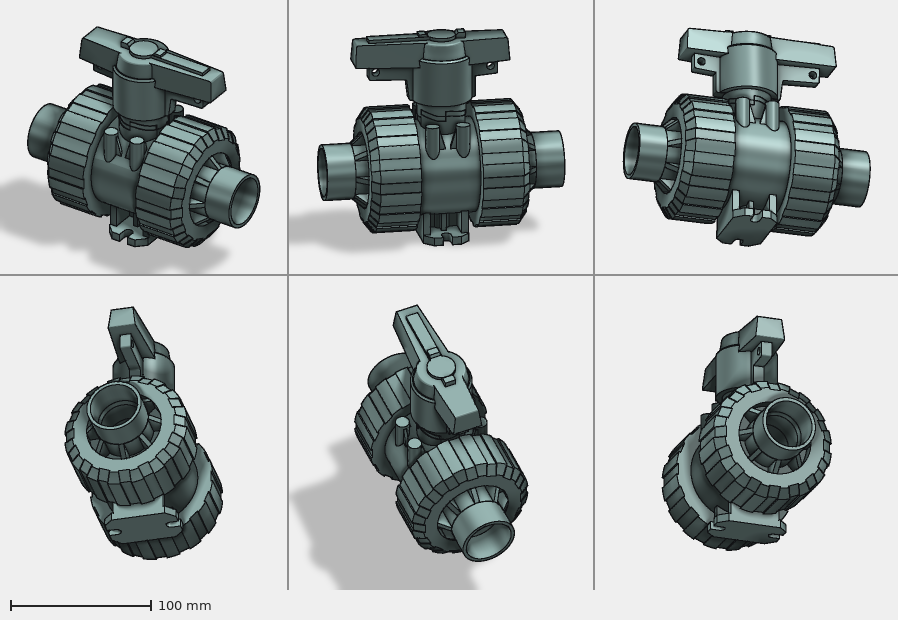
import cadquery as cq

half_length = 86.0
bore_radius = 15.8
body_radius = 34.1
nut_outer_end = 57.3
nut_inner_end = 22.4
lip_thickness = 9.0
flange_face = nut_outer_end - lip_thickness
flange_thickness = 6.0
body_half_length = flange_face - flange_thickness

nut_radius = 45.0
nut_opening_radius = 27.4
nut_chamfer_length = 5.3
nut_chamfer_drop = 6.8
groove_count = 16
groove_width = 8.0
groove_floor = 43.65
cut_margin = 1.0

tube_radius = 20.0
tube_step = 0.3
tube_step_x = 65.4
socket_radius = 17.4
socket_depth = 22.0
socket_cone_length = 3.0
rib_count = 8
rib_thickness = 3.7

neck_radius = 17.5
neck_top = 67.4
neck_shoulder_z = 39.6
neck_lower_half_width = 16.0
ramp_height = 3.6
ramp_radius = 18.0
ramp_low_z = 43.0
ramp_high_z = 46.5
ramp_flat_low = 5.9
ramp_flat_high = 4.0
ramp_end_drop = 2.8

post_radius = 5.0
post_x = 11.0
post_y = 25.4
post_top = 38.6
gusset_thickness = 2.3
gusset_top = 36.0
gusset_bottom = 21.6
gusset_reach = 9.3
side_gusset_x = 13.75

foot_half_x = 16.4
foot_half_y = 26.3
foot_bottom = -51.0
foot_plate_thickness = 5.8
foot_corner = 6.7
foot_slot_radius = 3.35
foot_slot_center = 20.0
leg_thickness = 5.1
leg_half_y = 18.3
foot_wall_thickness = 3.0
foot_boss_radius = 5.5
foot_rib_thickness = 3.6
foot_rib_half_y = 10.6

sleeve_radius = 22.0
sleeve_bottom = 51.8
sleeve_top = 85.5
sleeve_chamfer = 1.5
sleeve_slot_width = 9.9
sleeve_slot_top = 79.5
cone_base_radius = 19.7
cone_top_radius = 17.8
cone_fillet = 1.6
bar_bottom = 78.8
bar_top = 96.6
bar_left = -47.9
bar_right = 64.0
bar_end_rise = 1.5
bar_end_draft = 1.2
bar_hub_half_x = 12.0
bar_base_half_y = 13.35
bar_top_half_y = 11.1
bar_left_narrowing = 2.1
bar_right_narrowing = 3.2
bar_end_fillet = 1.8
bar_foot_fillet = 0.8
cap_radius = 10.2
cap_top = 99.0
pad_top = 100.77
pad_inner = 10.0
pad_slope = 1.7
pad_outer = 16.8
pad_width = 8.0
top_rib_width = 9.1
top_rib_end = 53.4
web_thickness = 7.9
web_left = -40.2
web_right = 53.1
web_top = 81.0
web_end_z = 68.6
web_step_z = 67.4
web_step_left = -24.1
web_step_right_low = 23.8
web_step_right_high = 25.8
web_fillet = 1.5
web_hole_radius = 2.75
web_hole_z = 74.4
web_hole_left = -35.0
web_hole_right = 48.2


def x_cylinder(radius, start, end):
    return cq.Workplane("YZ").workplane(offset=start).circle(radius).extrude(end - start)


def z_cylinder(radius, bottom, top, x=0, y=0):
    return cq.Workplane("XY").workplane(offset=bottom).center(x, y).circle(radius).extrude(top - bottom)


def box(x0, x1, y0, y1, z0, z1):
    return cq.Workplane("XY").box(x1 - x0, y1 - y0, z1 - z0, centered=False).translate((x0, y0, z0))


def xz_plate(points, thickness, y=0):
    """Plate of the given XZ outline, centred on y."""
    return cq.Workplane("XZ", origin=(0, y, 0)).polyline(points).close().extrude(thickness / 2, both=True)


def stop_ramps():
    """Low and high stop ramps standing proud of the -Y half of the neck."""
    low_end = ramp_low_z + ramp_end_drop
    high_end = ramp_high_z - ramp_end_drop
    ring = z_cylinder(ramp_radius, 0, neck_top)
    edge = neck_lower_half_width
    low_top = [(-edge, low_end), (-ramp_flat_low, ramp_low_z), (0, ramp_low_z)]
    high_top = [(0, ramp_high_z), (ramp_flat_high, ramp_high_z), (edge, high_end)]
    ramps = cq.Workplane("XY")
    for top_edge in (low_top, high_top):
        bottom_edge = [(x, z - ramp_height) for x, z in reversed(top_edge)]
        slab = xz_plate(top_edge + bottom_edge, ramp_radius, -ramp_radius / 2)
        ramps = ramps.union(ring.intersect(slab))
    return ramps


def make_neck():
    lower = z_cylinder(neck_radius, 0, neck_shoulder_z).intersect(
        box(-neck_lower_half_width, neck_lower_half_width, -body_radius, body_radius, 0, neck_top)
    )
    neck = lower.union(z_cylinder(neck_radius, neck_shoulder_z, neck_top))
    for angle in (0, 180):
        neck = neck.union(stop_ramps().rotate((0, 0, 0), (0, 0, 1), angle))
    return neck


def gusset_plate(x, y):
    """Gusset beside the point x, y, falling away toward -X."""
    outline = [
        (x, 0),
        (x - gusset_reach, 0),
        (x - gusset_reach, gusset_bottom),
        (x - post_radius, gusset_top),
        (x, gusset_top),
    ]
    return xz_plate(outline, gusset_thickness, y)


def make_post():
    """Post at +X, +Y with one gusset toward the middle in X and one in Y."""
    post = z_cylinder(post_radius, 0, post_top, post_x, post_y)
    side_gusset = gusset_plate(post_y, 0).rotate((0, 0, 0), (0, 0, 1), 90).translate((side_gusset_x, 0, 0))
    return post.union(gusset_plate(post_x, post_y)).union(side_gusset)


def make_foot():
    plate_top = foot_bottom + foot_plate_thickness
    plate = box(-foot_half_x, foot_half_x, -foot_half_y, foot_half_y, foot_bottom, plate_top)
    foot = plate.edges("|Z").chamfer(foot_corner)
    for side in (-1, 1):
        inner = foot_half_x - leg_thickness
        leg = box(inner, foot_half_x, -leg_half_y, leg_half_y, plate_top, 0)
        foot = foot.union(leg if side > 0 else leg.mirror("YZ"))
    wall = foot_wall_thickness / 2
    foot = foot.union(box(-foot_half_x, foot_half_x, -wall, wall, plate_top, 0))
    rib = foot_rib_thickness / 2
    foot = foot.union(box(-rib, rib, -foot_rib_half_y, foot_rib_half_y, plate_top, 0))
    foot = foot.union(z_cylinder(foot_boss_radius, plate_top, 0))
    for side in (-1, 1):
        center = side * foot_slot_center
        foot = foot.cut(z_cylinder(foot_slot_radius, foot_bottom, plate_top, 0, center))
        y0, y1 = sorted((center, side * foot_half_y))
        foot = foot.cut(box(-foot_slot_radius, foot_slot_radius, y0, y1, foot_bottom, plate_top))
    return foot


def make_body():
    body = x_cylinder(body_radius, -body_half_length, body_half_length)
    body = body.union(make_neck()).union(make_foot())
    post = make_post()
    for item in (post, post.mirror("YZ"), post.mirror("XZ"), post.mirror("YZ").mirror("XZ")):
        body = body.union(item)
    return body.cut(x_cylinder(bore_radius, -body_half_length, body_half_length))


def make_nut():
    """Union nut on the -X end."""
    face = -nut_outer_end
    shoulder = face + nut_chamfer_length
    outline = [
        (face, nut_opening_radius),
        (face, nut_radius - nut_chamfer_drop),
        (shoulder, nut_radius),
        (-nut_inner_end, nut_radius),
        (-nut_inner_end, body_radius),
        (-flange_face, body_radius),
        (-flange_face, nut_opening_radius),
    ]
    nut = cq.Workplane("XY").polyline(outline).close().revolve(360, (0, 0, 0), (1, 0, 0))
    groove_outline = [
        (face, nut_radius + cut_margin),
        (face, groove_floor - nut_chamfer_drop),
        (shoulder, groove_floor),
        (-nut_inner_end, groove_floor),
        (-nut_inner_end, nut_radius + cut_margin),
    ]
    groove = xz_plate(groove_outline, groove_width)
    for index in range(groove_count):
        nut = nut.cut(groove.rotate((0, 0, 0), (1, 0, 0), index * 360 / groove_count))
    return nut


def make_connector():
    """Tube with a ribbed flange on the -X end."""
    end = -half_length
    inner_radius = tube_radius - tube_step
    outline = [
        (end, socket_radius),
        (end, tube_radius),
        (-tube_step_x, tube_radius),
        (-tube_step_x, inner_radius),
        (-flange_face, inner_radius),
        (-flange_face, body_radius),
        (-body_half_length, body_radius),
        (-body_half_length, bore_radius),
        (end + socket_depth + socket_cone_length, bore_radius),
        (end + socket_depth, socket_radius),
    ]
    connector = cq.Workplane("XY").polyline(outline).close().revolve(360, (0, 0, 0), (1, 0, 0))
    rib_root = (socket_radius + inner_radius) / 2
    rib_outline = [
        (-tube_step_x, rib_root),
        (-tube_step_x, tube_radius),
        (-nut_outer_end, nut_opening_radius),
        (-flange_face, nut_opening_radius),
        (-flange_face, rib_root),
    ]
    envelope = x_cylinder(nut_opening_radius, -tube_step_x, -flange_face)
    rib = xz_plate(rib_outline, rib_thickness).intersect(envelope)
    for index in range(rib_count):
        connector = connector.union(rib.rotate((0, 0, 0), (1, 0, 0), index * 360 / rib_count))
    return connector


def bar_section(inset, hub_half_y):
    """Outline of the bar, widest at the hub, with both ends set in by the given inset."""
    left = bar_left + inset
    right = bar_right - inset
    upper = [
        (left, hub_half_y - bar_left_narrowing),
        (-bar_hub_half_x, hub_half_y),
        (bar_hub_half_x, hub_half_y),
        (right, hub_half_y - bar_right_narrowing),
    ]
    lower = [(x, -y) for x, y in reversed(upper)]
    return upper + lower


def make_bar():
    bar = (
        cq.Workplane("XY", origin=(0, 0, bar_bottom))
        .polyline(bar_section(0, bar_base_half_y)).close()
        .workplane(offset=bar_top - bar_bottom)
        .polyline(bar_section(bar_end_draft, bar_top_half_y)).close()
        .loft(ruled=True)
    )
    for end, hub in ((bar_left, -bar_hub_half_x), (bar_right, bar_hub_half_x)):
        wedge = [(hub, bar_bottom), (end, bar_bottom), (end, bar_bottom + bar_end_rise)]
        bar = bar.cut(xz_plate(wedge, 2 * bar_base_half_y))
    bar = bar.faces(">Z").edges("<X or >X").fillet(bar_end_fillet)
    return bar.edges("<X or >X").fillet(bar_foot_fillet)


def make_hub():
    outline = [
        (0, sleeve_bottom),
        (sleeve_radius, sleeve_bottom),
        (sleeve_radius, sleeve_top - sleeve_chamfer),
        (sleeve_radius - sleeve_chamfer, sleeve_top),
        (cone_base_radius, sleeve_top),
        (cone_top_radius, bar_top),
        (0, bar_top),
    ]
    hub = cq.Workplane("XZ").polyline(outline).close().revolve(360, (0, 0, 0), (0, 1, 0))
    hub = hub.edges(">Z").fillet(cone_fillet)
    hub = hub.union(z_cylinder(cap_radius, sleeve_top, cap_top))
    hub = hub.cut(z_cylinder(neck_radius, sleeve_bottom, sleeve_slot_top))
    half = sleeve_slot_width / 2
    return hub.cut(box(-sleeve_radius, sleeve_radius, -half, half, sleeve_bottom, sleeve_slot_top))


def make_web():
    outline = [
        (web_left, web_top),
        (web_left, web_end_z),
        (web_step_left, web_step_z),
        (web_step_left, sleeve_bottom),
        (web_step_right_low, sleeve_bottom),
        (web_step_right_high, web_step_z),
        (web_right, web_end_z),
        (web_right, web_top),
    ]
    web = xz_plate(outline, web_thickness)
    lower_corners = cq.StringSyntaxSelector("|Y and (not >Z)")
    sharp_corner = cq.NearestToPointSelector((web_step_left, 0, web_step_z))
    web = web.edges(lower_corners - sharp_corner).fillet(web_fillet)
    web = web.cut(z_cylinder(neck_radius, sleeve_bottom, neck_top))
    for x in (web_hole_left, web_hole_right):
        hole = cq.Workplane("XZ").center(x, web_hole_z).circle(web_hole_radius)
        web = web.cut(hole.extrude(web_thickness, both=True))
    return web


def make_handle():
    handle = make_bar().union(make_hub())
    handle = handle.union(make_web())
    half_rib = top_rib_width / 2
    handle = handle.union(box(0, top_rib_end, -half_rib, half_rib, bar_top, cap_top))
    pad_outline = [
        (pad_inner, bar_top),
        (pad_inner, cap_top),
        (pad_inner + pad_slope, pad_top),
        (pad_outer, pad_top),
        (pad_outer, bar_top),
    ]
    pad = xz_plate(pad_outline, pad_width)
    return handle.union(pad).union(pad.mirror("YZ"))


body = make_body()
nut = make_nut()
connector = make_connector()
nuts = [nut, nut.mirror("YZ")]
connectors = [connector, connector.mirror("YZ")]
handle = make_handle()

result = cq.Compound.makeCompound(
    [body.val(), handle.val()]
    + [item.val() for item in nuts]
    + [item.val() for item in connectors]
)